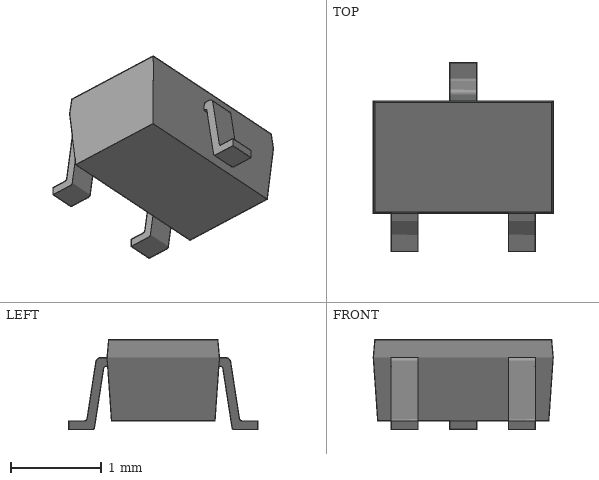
import cadquery as cq
import math

body_length = 2.0
body_width = 1.25
lead_span = 2.1
total_height = 1.0

lead_thickness = 0.099
body_bottom = lead_thickness
parting_height = 0.8
top_draft = 5.0
bottom_draft = 4.0

lead_width = 0.3
lead_pitch = 1.3
foot_length = 0.2
shank_tilt = 8.8
shoulder_radius = 0.059
bend_radius = 0.025
embedded_length = 0.063


def tapered_half(height, draft):
    """Body half that narrows away from the parting plane."""
    return (
        cq.Workplane("XY", origin=(0, 0, parting_height))
        .rect(body_length, body_width)
        .extrude(height, taper=draft)
    )


def make_lead(x_center):
    """Lead leaving the -Y face of the body."""
    tip_y = -lead_span / 2
    root_y = -body_width / 2 + embedded_length
    slope = math.tan(math.radians(shank_tilt))
    shank_run = lead_thickness / math.cos(math.radians(shank_tilt))

    foot_inner_y = tip_y + foot_length
    shoulder_outer_y = foot_inner_y + slope * (parting_height - lead_thickness)
    foot_outer_y = foot_inner_y + shank_run - slope * lead_thickness
    shoulder_inner_y = shoulder_outer_y + shank_run - slope * lead_thickness
    shoulder_underside = parting_height - lead_thickness

    lead = (
        cq.Workplane("YZ", origin=(x_center, 0, 0))
        .moveTo(tip_y, 0)
        .lineTo(foot_outer_y, 0)
        .lineTo(shoulder_inner_y, shoulder_underside)
        .lineTo(root_y, shoulder_underside)
        .lineTo(root_y, parting_height)
        .lineTo(shoulder_outer_y, parting_height)
        .lineTo(foot_inner_y, lead_thickness)
        .lineTo(tip_y, lead_thickness)
        .close()
        .extrude(lead_width / 2, both=True)
    )

    def bend_edge(y, z):
        return cq.selectors.NearestToPointSelector((x_center, y, z))

    lead = lead.edges(bend_edge(shoulder_outer_y, parting_height)).fillet(shoulder_radius)
    small_bends = (
        (foot_outer_y, 0),
        (shoulder_inner_y, shoulder_underside),
        (foot_inner_y, lead_thickness),
    )
    for y, z in small_bends:
        lead = lead.edges(bend_edge(y, z)).fillet(bend_radius)
    return lead


upper_half = tapered_half(total_height - parting_height, top_draft)
lower_half = tapered_half(body_bottom - parting_height, bottom_draft)
result = upper_half.union(lower_half)

for x_center in (-lead_pitch / 2, lead_pitch / 2):
    result = result.union(make_lead(x_center))
opposite_lead = make_lead(0).rotate((0, 0, 0), (0, 0, 1), 180)
result = result.union(opposite_lead)